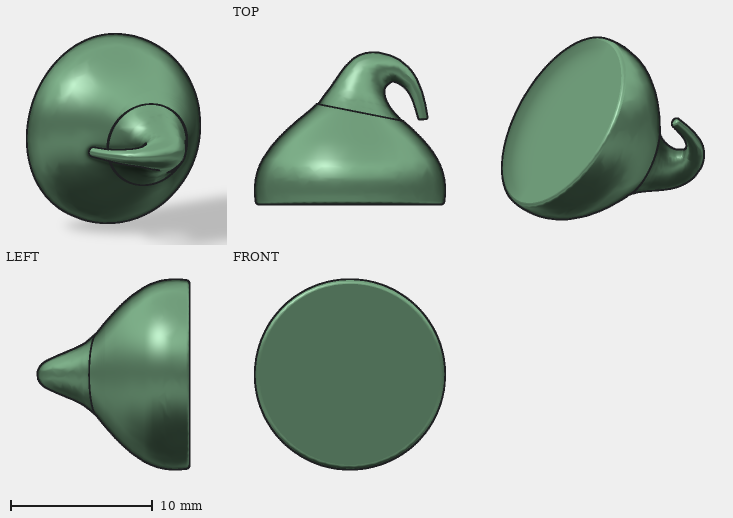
import cadquery as cq
import math

MAX_RADIUS = 6.74
MAX_RADIUS_HEIGHT = 1.0
BASE_FILLET = 0.28
BASE_RADIUS = 6.63
FLANK = [
    (MAX_RADIUS, MAX_RADIUS_HEIGHT),
    (6.46, 2.58),
    (5.79, 3.80),
    (4.73, 5.02),
    (3.66, 5.99),
    (2.35, 7.10),
    (1.90, 7.60),
]

SEAM_OUTER = (-2.25, 7.10)
SEAM_INNER = (3.67, 5.93)
SEAM_HALF_WIDTH = 2.94

HOOK_SECTIONS = [
    (SEAM_OUTER, SEAM_INNER, SEAM_HALF_WIDTH),
    ((-1.86, 7.66), (3.13, 6.49), 2.45),
    ((-1.46, 8.18), (2.64, 7.21), 2.05),
    ((-0.70, 9.28), (2.44, 7.94), 1.62),
    ((0.32, 10.38), (2.52, 8.32), 1.25),
    ((2.00, 10.76), (2.78, 8.56), 0.98),
    ((3.94, 9.89), (3.30, 8.62), 0.62),
    ((4.83, 8.67), (4.02, 8.08), 0.49),
    ((5.28, 7.30), (4.52, 7.08), 0.38),
    ((5.42, 6.62), (4.70, 6.49), 0.35),
    ((5.50, 6.05), (4.84, 5.98), 0.33),
]
TIP_FILLET = 0.15


def section_plane(outer, inner):
    """Plane through both edge points, parallel to Z, with its normal along the hook."""
    middle = ((outer[0] + inner[0]) / 2, (outer[1] + inner[1]) / 2, 0)
    across = (inner[0] - outer[0], inner[1] - outer[1], 0)
    along = (-across[1], across[0], 0)
    return cq.Plane(origin=middle, xDir=across, normal=along)


def section_wire(outer, inner, half_width):
    """Elliptical hook section spanning from the outer to the inner edge."""
    half_length = math.dist(outer, inner) / 2
    return cq.Workplane(section_plane(outer, inner)).ellipse(half_length, half_width).val()


def make_bell():
    """Revolved bell with a rounded base edge, cut off at the slanted seam."""
    top_height = FLANK[-1][1]
    bell = (
        cq.Workplane("XY")
        .lineTo(BASE_RADIUS, 0)
        .spline(FLANK, includeCurrent=True)
        .lineTo(0, top_height)
        .close()
        .revolve(360, (0, 0, 0), (0, 1, 0))
        .faces("<Y")
        .edges()
        .fillet(BASE_FILLET)
    )
    seam = section_plane(SEAM_OUTER, SEAM_INNER)
    cutter_size = 4 * MAX_RADIUS
    cutter = cq.Workplane(seam).rect(cutter_size, cutter_size).extrude(top_height)
    return bell.cut(cutter)


def make_hook():
    """Tapering curl lofted from the bell's slanted top face to the rounded tip."""
    wires = [section_wire(outer, inner, half_width) for outer, inner, half_width in HOOK_SECTIONS]
    hook = cq.Workplane(cq.Solid.makeLoft(wires))
    tip_outer, tip_inner, _ = HOOK_SECTIONS[-1]
    tip = section_plane(tip_outer, tip_inner).origin
    return hook.faces(cq.selectors.NearestToPointSelector(tip.toTuple())).edges().fillet(TIP_FILLET)


result = make_bell().union(make_hook())